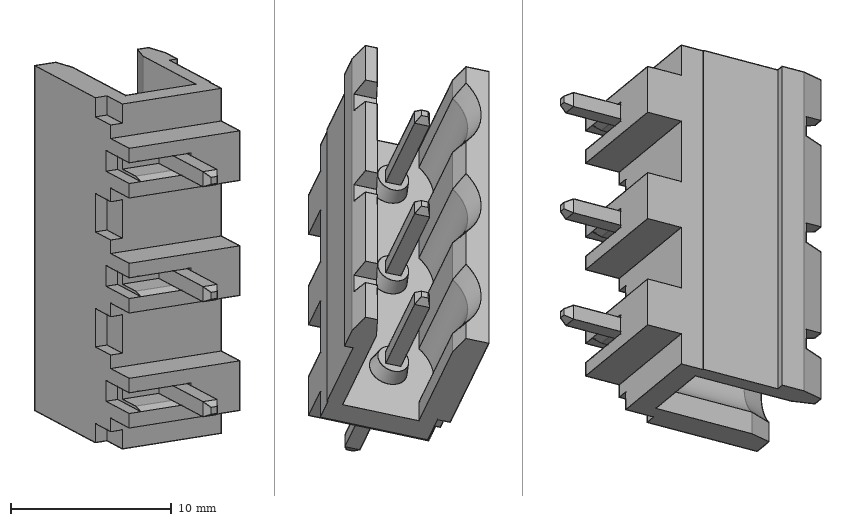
import cadquery as cq


length = 22.5
pin_count = 3
pitch = length / pin_count
pin_heights = [(index + 0.5) * pitch for index in range(pin_count)]

base_front_x = 8.35
base_back_x = 9.9
body_width = 7.88
front_wall = 1.91
mouth_chamfer_depth = 1.46
mouth_chamfer_width = 0.4
latch_inner_y = 6.9
latch_outer_y = 7.95
hook_peak_y = 8.5
hook_end_x = 3.02

scallop_radius = 3.0
scallop_mouth_radius = scallop_radius + mouth_chamfer_width

notch_depth = 1.25
notch_floor = 1.35
notch_mouth = 1.78

block_end_x = 12.3
block_height = 3.25

pocket_start_x = 7.9
pocket_depth = 0.83
pocket_height = pitch / 3

pin_y = 3.92
pin_side = 1.0
pin_start_x = 0.92
pin_end_x = 16.2
pin_tip_side = 0.45
pin_tip_length = 0.55

slot_start_x = 9.3
slot_height = 1.35
slot_lead_in = 0.68

collar_height = 1.01
collar_base_radius = 1.24
collar_top_radius = 1.01


def box(x_range, y_range, z_center, height):
    """Box between two X and two Y limits, centred on a height."""
    size_x = x_range[1] - x_range[0]
    size_y = y_range[1] - y_range[0]
    corner = (x_range[0], y_range[0], z_center - height / 2)
    return cq.Workplane("XY").box(size_x, size_y, height, centered=False).translate(corner)


def pin_axis_plane(x, z):
    """Workplane on the pin axis, facing +X, with local x along Y."""
    return cq.Workplane(cq.Plane(origin=(x, pin_y, z), xDir=(0, 1, 0), normal=(1, 0, 0)))


def cone(x, z, start_radius, end_radius, depth):
    """Truncated cone on the pin axis that starts at x and runs toward +X."""
    start = pin_axis_plane(x, z).circle(start_radius)
    return start.workplane(offset=depth).circle(end_radius).loft(ruled=True)


def housing():
    """U-shaped section with a hooked latch wall, extruded over the full length."""
    outline = [
        (0, 0),
        (base_back_x, 0),
        (base_back_x, body_width),
        (base_front_x, body_width),
        (base_front_x, latch_outer_y),
        (hook_end_x, latch_outer_y),
        (hook_end_x, hook_peak_y),
        (mouth_chamfer_depth, hook_peak_y),
        (0, hook_peak_y - mouth_chamfer_width),
        (0, latch_inner_y + mouth_chamfer_width),
        (mouth_chamfer_depth, latch_inner_y),
        (base_front_x, latch_inner_y),
        (base_front_x, front_wall),
        (mouth_chamfer_depth, front_wall),
        (0, front_wall - mouth_chamfer_width),
    ]
    return cq.Workplane("XY").polyline(outline).close().extrude(length)


def wall_scallop(z):
    """Round clearance in the front wall, with a conical mouth; the latch wall is left whole."""
    straight_depth = base_front_x - mouth_chamfer_depth
    mouth = cone(0, z, scallop_mouth_radius, scallop_radius, mouth_chamfer_depth)
    bore = pin_axis_plane(mouth_chamfer_depth, z).circle(scallop_radius).extrude(straight_depth)
    front_side = box((0, base_front_x), (0, pin_y), z, pitch)
    return mouth.union(bore).intersect(front_side)


def latch_notch(z):
    """V-sided notch across the lip of the latch wall."""
    outline = [
        (0, z - notch_mouth / 2),
        (notch_depth, z - notch_floor / 2),
        (notch_depth, z + notch_floor / 2),
        (0, z + notch_mouth / 2),
    ]
    cut_start = cq.Workplane("XZ", origin=(0, latch_inner_y, 0))
    return cut_start.polyline(outline).close().extrude(latch_inner_y - hook_peak_y)


def back_block(z):
    """Block behind the base that supports one pin."""
    return box((base_back_x, block_end_x), (0, body_width), z, block_height)


def pin_slot(z):
    """Wide shallow slot, then a pin-wide channel with a flared exit, down to the pin."""
    channel_end_y = pin_y + pin_side / 2
    wide_slot = box((slot_start_x, block_end_x), (0, pocket_depth), z, slot_height)
    flare_start_x = block_end_x - slot_lead_in
    channel_outline = [
        (base_back_x, z - pin_side / 2),
        (flare_start_x, z - pin_side / 2),
        (block_end_x, z - slot_height / 2),
        (block_end_x, z + slot_height / 2),
        (flare_start_x, z + pin_side / 2),
        (base_back_x, z + pin_side / 2),
    ]
    channel = cq.Workplane("XZ").polyline(channel_outline).close().extrude(-channel_end_y)
    return wide_slot.union(channel)


def tip(x, z, start_side, end_side):
    """Four-sided pin tip that starts at x and runs toward +X."""
    start = pin_axis_plane(x, z).rect(start_side, start_side)
    return start.workplane(offset=pin_tip_length).rect(end_side, end_side).loft(ruled=True)


def pin(z):
    """Square pin with a tapered tip at each end."""
    shank_start_x = pin_start_x + pin_tip_length
    shank_end_x = pin_end_x - pin_tip_length
    shank_length = shank_end_x - shank_start_x
    shank = pin_axis_plane(shank_start_x, z).rect(pin_side, pin_side).extrude(shank_length)
    mating_tip = tip(pin_start_x, z, pin_tip_side, pin_side)
    solder_tip = tip(shank_end_x, z, pin_side, pin_tip_side)
    return shank.union(mating_tip).union(solder_tip)


def collar(z):
    """Tapered collar that rises from the base around one pin."""
    return cone(base_front_x - collar_height, z, collar_top_radius, collar_base_radius, collar_height)


result = housing()

for index in range(pin_count + 1):
    pocket = box((pocket_start_x, base_back_x), (0, pocket_depth), index * pitch, pocket_height)
    result = result.cut(pocket)

for pin_z in pin_heights:
    result = result.union(back_block(pin_z))
    result = result.cut(wall_scallop(pin_z)).cut(latch_notch(pin_z)).cut(pin_slot(pin_z))
    result = result.union(collar(pin_z)).union(pin(pin_z))